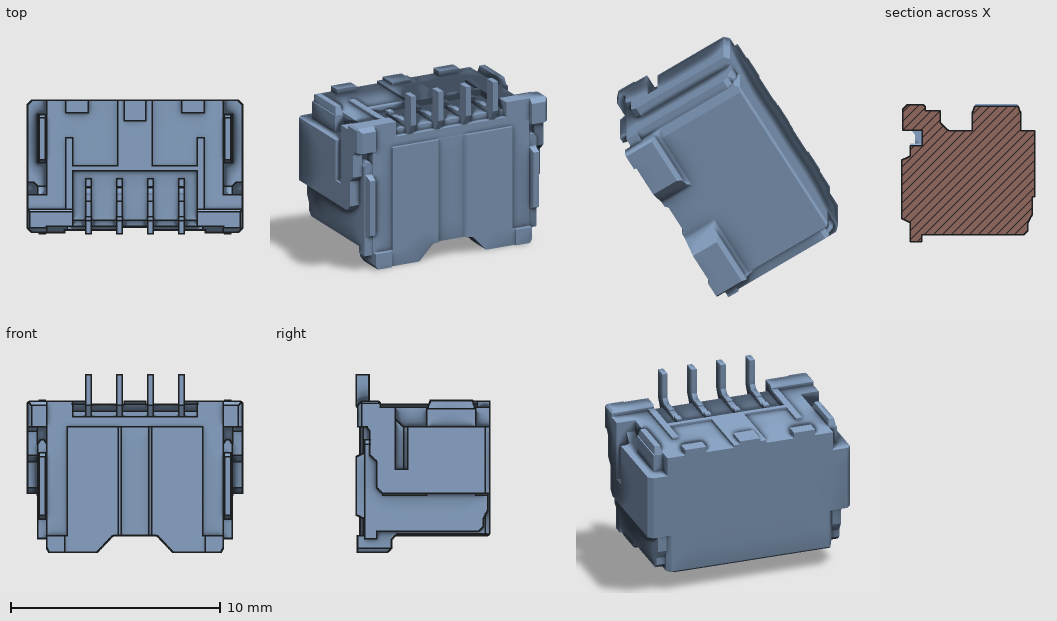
import cadquery as cq


total_width = 10.3
total_depth = 6.4
body_half_width = 4.22
body_front = 0.35
body_bottom = 0.79
body_top = 6.94
rib_top = 7.08
pad_top = 7.23
rear_corner_chamfer = 0.22
bottom_edge_chamfer = 0.42
bottom_edge_inset = 0.1
bottom_rear_chamfer = 0.11

half_width = total_width / 2
wing_bottom = 2.81
wing_top = 5.99
wing_front_low = 0.99
wing_front_high = 0.66
ear_rear = 1.87
ear_front = 0.07
head_rear = 1.16
head_edge_chamfer = 0.1
ear_corner_chamfer = 0.21
wing_front_step = 4.34
wing_step_rise = 0.31
wing_bottom_chamfer = 0.28
wing_throat_run = 0.15
wing_throat_rise = 0.22
slot_bottom = 3.97
slot_rear = 2.47
slot_half_width = 4.65
slot_corner = 0.21
ramp_top = 6.37

plate_outer = 4.66
plate_top = 5.38
plate_front = 0.42
plate_bottom = 1.0
plate_chamfer = 0.21
plate_chamfer_inset = 0.12
plate_rear = 6.29
plate_post_rear = 0.99
plate_post_bottom = 0.65
plate_notch_depth = 0.22
plate_notch_bottom = 1.22
plate_notch_top = 1.59
plate_rear_low = 2.0
lip_height = 0.07
lip_outer = 4.68

tab_outer = 4.68
tab_rear = 5.73
tab_front = 3.39
tab_shoulder = 6.87
tab_top = 7.26
tip_inner = 4.24
tip_outer = 4.62
tip_end_inset = 0.02
tip_end_draft = 0.14
tip_side_draft = 0.05
hook_inner = 4.25
hook_outer = 4.6
hook_bottom = 1.59
hook_top = 4.77
hook_draft = 0.2
hook_side_draft = 0.03

foot_front = 0.06
foot_rear = 1.7
foot_chamfer = 0.2
foot_side_chamfer_width = 0.1
foot_rear_slope_start = 0.62
foot_slope_top = body_bottom + bottom_edge_chamfer
foot_inner_edge = 3.37
panel_half_width = 3.23
panel_front = 0.18
groove_half_width = 0.8
groove_floor = 0.32
groove_floor_half_width = 0.65
arch_top_half_width = 1.06
arch_bottom_half_width = 1.81
arch_corner_radius = 0.21

pocket_half_width = 2.99
pocket_rear = 3.01
pocket_step = 0.65
pocket_floor = 6.76
front_sill = 6.48
rib_outer = 3.31
rib_rear = 4.59
crossbar_rear = 3.25
spine_half_width = 0.82
side_pad_inner = 2.24
side_pad_front = 5.79
center_pad_half_width = 0.52
center_pad_front = 5.41

pin_count = 4
pin_pitch = 1.48
pin_width = 0.27
pin_top = 8.5
pin_depth = 0.62
pin_bevel_top = 7.02
pin_heel_front = body_front
leg_rear = 2.63
leg_block_front = 2.26
leg_dip_front = 2.19
leg_ramp_front = 1.93
leg_raised_rear = 1.56
leg_fillet_rear = 0.82
leg_block_height = 0.27
leg_dip_height = 0.11
leg_low_height = 0.21
leg_ramp_bulge = 0.02
leg_fillet_height = 0.21


def box(x_min, x_max, y_min, y_max, z_min, z_max):
    """Axis-aligned block between the given limits."""
    size = (x_max - x_min, y_max - y_min, z_max - z_min)
    return cq.Workplane("XY").box(*size, centered=False).translate((x_min, y_min, z_min))


def centered_box(half_x, y_min, y_max, z_min, z_max):
    """Block symmetric about X = 0."""
    return box(-half_x, half_x, y_min, y_max, z_min, z_max)


def side_profile(points, x_min, x_max):
    """Outline of (Y, Z) points extruded along X."""
    return cq.Workplane("YZ").workplane(offset=x_min).polyline(points).close().extrude(x_max - x_min)


def plan_profile(points, z_min, z_max):
    """Outline of (X, Y) points extruded along Z."""
    return cq.Workplane("XY").workplane(offset=z_min).polyline(points).close().extrude(z_max - z_min)


def both_sides(solid):
    """The +X solid together with its mirror image."""
    return solid.union(solid.mirror("YZ"))


def make_body():
    """Main housing block, bevelled along its lower edges and lower rear corners."""
    body = centered_box(body_half_width, body_front, total_depth, body_bottom, body_top)
    body = body.edges("|Z and >Y").chamfer(rear_corner_chamfer)
    body = body.faces("<Z").edges("|Y and (<X or >X)").chamfer(bottom_edge_chamfer, bottom_edge_inset)
    body = body.faces(">Y").edges("<Z").chamfer(bottom_rear_chamfer)
    return body.union(centered_box(body_half_width, body_front, total_depth, wing_bottom, body_top))


def make_wing():
    """Side wing with its stepped front end, on the +X side."""
    outline = [
        (total_depth, wing_bottom),
        (wing_front_low + wing_bottom_chamfer, wing_bottom),
        (wing_front_low, wing_bottom + wing_bottom_chamfer),
        (wing_front_low, wing_front_step),
        (wing_front_high, wing_front_step + wing_step_rise),
        (wing_front_high, wing_top - wing_throat_rise),
        (wing_front_high - wing_throat_run, wing_top),
        (total_depth, wing_top),
    ]
    wing = side_profile(outline, body_half_width, half_width)
    return wing.edges("|Z and >X and >Y").chamfer(rear_corner_chamfer)


def make_plate_recess():
    """Clearance in the front of the wing for the top of the plate's post, on the +X side."""
    recess_bottom = plate_top - plate_chamfer
    return box(body_half_width, lip_outer, plate_front, plate_post_rear, recess_bottom, wing_top)


def make_ear():
    """Ear above the front of the wing, with a bevelled upper block, on the +X side."""
    ear = box(body_half_width, half_width, head_rear, ear_rear, wing_top, body_top)
    block = box(0, half_width, ear_front, head_rear, wing_top, pad_top)
    block = block.edges("|Z and >X and <Y").chamfer(ear_corner_chamfer)
    top_front = side_profile(
        [
            (ear_front, pad_top),
            (ear_front, pad_top - ear_corner_chamfer),
            (ear_front + ear_corner_chamfer, pad_top),
        ],
        0,
        half_width,
    )
    block = block.faces(">Z").edges(">X or >Y").chamfer(head_edge_chamfer)
    block = block.cut(top_front)
    center = box(0, body_half_width, 0, body_front, wing_top, pad_top)
    return ear.union(block.cut(center))


def make_wing_slot():
    """Upright slot between wing and ear, with a bevelled inner rear corner, on the +X side."""
    outline = [
        (slot_half_width, ear_rear),
        (half_width, ear_rear),
        (half_width, slot_rear),
        (slot_half_width + slot_corner, slot_rear),
        (slot_half_width, slot_rear - slot_corner),
    ]
    return plan_profile(outline, slot_bottom, wing_top)


def make_ear_ramp():
    """Sloped fillet behind the ear, next to the housing wall, on the +X side."""
    outline = [
        (ear_rear, wing_top),
        (slot_rear - slot_corner, wing_top),
        (ear_rear, ramp_top),
    ]
    return side_profile(outline, body_half_width, slot_half_width)


def make_plate():
    """Skirt plate below the wing with the post that rises in front of it, on the +X side."""
    skirt_top = wing_bottom - lip_height
    skirt_outline = [
        (plate_front, skirt_top),
        (plate_front, plate_post_bottom),
        (plate_post_rear, plate_post_bottom),
        (plate_post_rear, plate_bottom),
        (plate_rear - 2 * plate_notch_depth, plate_bottom),
        (plate_rear - plate_notch_depth, plate_notch_bottom),
        (plate_rear - plate_notch_depth, plate_notch_top),
        (plate_rear, plate_rear_low),
        (plate_rear, skirt_top),
    ]
    skirt = side_profile(skirt_outline, body_half_width, plate_outer)
    filler_rear = plate_post_rear + wing_bottom_chamfer
    filler_top = wing_bottom + wing_bottom_chamfer
    filler = box(body_half_width, plate_outer, plate_front, filler_rear, plate_bottom, filler_top)
    post = box(body_half_width, plate_outer, plate_front, plate_post_rear, plate_bottom, plate_top)
    post = post.faces(">Z").edges("|Y").chamfer(plate_chamfer, plate_chamfer_inset)
    front_lip = box(body_half_width, lip_outer, filler_rear, tab_front, skirt_top, wing_bottom)
    rear_lip = box(body_half_width, lip_outer, tab_rear, plate_rear, skirt_top, wing_bottom)
    contact = box(body_half_width, plate_outer, tab_front, tab_rear, skirt_top, wing_bottom)
    return skirt.union(filler).union(post).union(front_lip).union(rear_lip).union(contact)


def make_top_tab():
    """Upright tab standing on the wing, tapered at its tip, on the +X side."""
    stem = box(body_half_width, tab_outer, tab_front, tab_rear, wing_top, tab_shoulder)
    base_width = tip_outer - tip_inner
    base_length = tab_rear - tab_front - 2 * tip_end_inset
    tip_center = ((tip_inner + tip_outer) / 2, (tab_front + tab_rear) / 2, tab_shoulder)
    tip = (
        cq.Workplane("XY", origin=tip_center)
        .rect(base_width, base_length)
        .workplane(offset=tab_top - tab_shoulder)
        .rect(base_width - 2 * tip_side_draft, base_length - 2 * tip_end_draft)
        .loft(combine=True)
    )
    return stem.union(tip)


def make_front_hook():
    """Tapered tab on the front face of the post, on the +X side."""
    base_width = hook_outer - hook_inner
    base_height = hook_top - hook_bottom
    base_center = ((hook_inner + hook_outer) / 2, plate_front, (hook_bottom + hook_top) / 2)
    return (
        cq.Workplane("XZ", origin=base_center)
        .rect(base_width, base_height)
        .workplane(offset=plate_front)
        .rect(base_width - 2 * hook_side_draft, base_height - 2 * hook_draft)
        .loft(combine=True)
    )


def make_foot():
    """Bar under the front wall, with bevelled lower outer edges and proud end pads."""
    rear_slope = foot_slope_top - foot_rear_slope_start
    outline = [
        (panel_front, 0),
        (foot_rear - foot_chamfer, 0),
        (foot_rear, foot_chamfer),
        (foot_rear, foot_rear_slope_start),
        (foot_rear + rear_slope, foot_slope_top),
        (panel_front, foot_slope_top),
    ]
    foot = side_profile(outline, -body_half_width, body_half_width)
    foot = foot.cut(box(-body_half_width, body_half_width, 0, body_front, body_bottom, wing_bottom))
    pad = box(foot_inner_edge, body_half_width, foot_front, body_front, 0, body_bottom)
    foot = foot.union(both_sides(pad))
    bevel = (
        cq.Workplane("XZ")
        .polyline([
            (body_half_width, 0),
            (body_half_width - foot_side_chamfer_width, 0),
            (body_half_width, foot_chamfer),
        ])
        .close()
        .extrude(-total_depth)
    )
    return foot.cut(both_sides(bevel))


def make_arch():
    """Trapezoid opening in the middle of the foot."""
    return (
        cq.Workplane("XZ")
        .polyline([
            (-arch_bottom_half_width, 0),
            (arch_bottom_half_width, 0),
            (arch_top_half_width, body_bottom),
            (-arch_top_half_width, body_bottom),
        ])
        .close()
        .extrude(-(foot_rear + body_bottom))
        .edges("|Y and >Z")
        .fillet(arch_corner_radius)
    )


def make_front_panel():
    """Raised front panel with a shallow upright groove in the middle."""
    panel = centered_box(panel_half_width, panel_front, body_front, body_bottom, wing_top)
    groove = plan_profile(
        [
            (-groove_half_width, panel_front),
            (groove_half_width, panel_front),
            (groove_floor_half_width, groove_floor),
            (-groove_floor_half_width, groove_floor),
        ],
        body_bottom,
        wing_top,
    )
    return panel.cut(groove)


def make_top_ribs():
    """Ribs beside and behind the pin pocket, and the spine running to the rear."""
    side_rib = box(pocket_half_width, rib_outer, head_rear, rib_rear, body_top, rib_top)
    crossbar = centered_box(pocket_half_width, pocket_rear, crossbar_rear, body_top, rib_top)
    spine = centered_box(spine_half_width, crossbar_rear, total_depth, body_top, rib_top)
    return both_sides(side_rib).union(crossbar).union(spine)


def make_top_pads():
    """Three rest pads along the rear edge of the top."""
    side_pad = box(side_pad_inner, rib_outer, side_pad_front, total_depth, body_top, pad_top)
    center_pad = centered_box(center_pad_half_width, center_pad_front, total_depth, body_top, pad_top)
    return both_sides(side_pad).union(center_pad)


def make_pocket():
    """Pin pocket open to the top, with a lower sill open to the front."""
    pocket = centered_box(pocket_half_width, pocket_step, pocket_rear, pocket_floor, pad_top)
    sill = centered_box(pocket_half_width, 0, pocket_step, front_sill, pad_top)
    return pocket.union(sill)


def make_pin(x_center):
    """Upright pin with a bevelled heel and a stepped leg lying on the pocket floor."""
    block_top = pocket_floor + leg_block_height
    dip_top = pocket_floor + leg_dip_height
    low_top = pocket_floor + leg_low_height
    ramp_middle = ((leg_dip_front + leg_ramp_front) / 2, (dip_top + low_top) / 2 + leg_ramp_bulge)
    outline = (
        cq.Workplane("YZ")
        .workplane(offset=x_center - pin_width / 2)
        .moveTo(0, pin_top)
        .lineTo(0, pin_bevel_top)
        .lineTo(pin_heel_front, front_sill)
        .lineTo(pocket_step, front_sill)
        .lineTo(pocket_step, pocket_floor)
        .lineTo(leg_rear, pocket_floor)
        .lineTo(leg_rear, block_top)
        .lineTo(leg_block_front, block_top)
        .lineTo(leg_block_front, dip_top)
        .lineTo(leg_dip_front, dip_top)
        .threePointArc(ramp_middle, (leg_ramp_front, low_top))
        .lineTo(leg_raised_rear, low_top)
        .lineTo(leg_raised_rear, block_top)
        .lineTo(leg_fillet_rear, block_top)
        .lineTo(pin_depth, block_top + leg_fillet_height)
        .lineTo(pin_depth, pin_top)
        .close()
    )
    return outline.extrude(pin_width)


result = make_body()
result = result.union(make_foot()).cut(make_arch())
result = result.union(make_front_panel())

side = make_wing().cut(make_plate_recess()).union(make_ear())
side = side.cut(make_wing_slot()).union(make_ear_ramp())
side = side.union(make_plate()).union(make_top_tab()).union(make_front_hook())
result = result.union(both_sides(side))

result = result.union(make_top_ribs()).union(make_top_pads()).cut(make_pocket())

for index in range(pin_count):
    pin_x = (index - (pin_count - 1) / 2) * pin_pitch
    result = result.union(make_pin(pin_x))